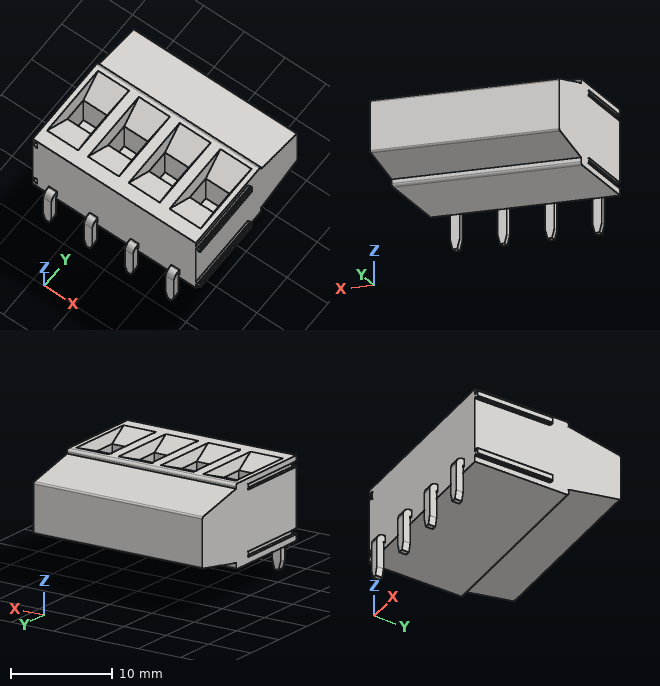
import cadquery as cq


POLE_COUNT = 4
PITCH = 5.0

WIDTH = POLE_COUNT * PITCH
DEPTH = 16.85
HEIGHT = 8.9
SHOULDER_Y = 10.85
NOSE_ROOT_TOP = 8.4
NOSE_ROOT_BOTTOM = 0.7
NOSE_TIP_TOP = 7.1
NOSE_TIP_BOTTOM = 1.75
SHOULDER_RADIUS = 0.3
NOSE_RADIUS = 0.2

MOUTH_WIDTH = 3.8
MOUTH_FRONT_Y = 1.6
MOUTH_BACK_Y = 10.05
SHAFT_WIDTH = 2.9
SHAFT_FRONT_Y = 4.35
SHAFT_BACK_Y = 7.0
FUNNEL_DEPTH = 1.1
POCKET_DEPTH = 5.0

RAIL_COUNT = 2
RAIL_LENGTH = 8.65
RAIL_DEPTH = 0.55
RAIL_NECK_DEPTH = 0.28
RAIL_TOP_DROP = 0.5
RAIL_SPACING = 7.0
RAIL_HEAD_HEIGHT = 0.8
RAIL_NECK_TOP = 0.15
RAIL_NECK_BOTTOM = 0.55
RAIL_FLARE_BOTTOM = 0.7
RAIL_FLARE_DEPTH = 0.13
RAIL_CHAMFER = 0.1
GROOVE_MOUTH_FLARE = 0.05
RAIL_HEAD_TOPS = [HEIGHT - RAIL_TOP_DROP - row * RAIL_SPACING for row in range(RAIL_COUNT)]

PIN_WIDTH = 1.0
PIN_THICKNESS = 0.8
PIN_REACH = 0.95
PIN_TOP_Z = 1.53
PIN_DROP = 3.5
PIN_BEND_RADIUS = 0.8
PIN_TIP_WIDTH = 0.5
PIN_TIP_LENGTH = 0.95
PIN_EMBED = 0.5


def pole_x(pole):
    return (pole + 0.5) * PITCH


def make_housing():
    outline = [
        (0, 0),
        (SHOULDER_Y, 0),
        (SHOULDER_Y, NOSE_ROOT_BOTTOM),
        (DEPTH, NOSE_TIP_BOTTOM),
        (DEPTH, NOSE_TIP_TOP),
        (SHOULDER_Y, NOSE_ROOT_TOP),
        (SHOULDER_Y, HEIGHT),
        (0, HEIGHT),
    ]
    block = cq.Workplane("YZ").polyline(outline).close().extrude(WIDTH)

    def edge_along_x(y, z):
        return cq.selectors.NearestToPointSelector((WIDTH / 2, y, z))

    for z in (0, HEIGHT):
        block = block.edges(edge_along_x(SHOULDER_Y, z)).fillet(SHOULDER_RADIUS)
    for z in (NOSE_TIP_BOTTOM, NOSE_TIP_TOP):
        block = block.edges(edge_along_x(DEPTH, z)).fillet(NOSE_RADIUS)
    return block


def make_pocket(pole):
    mouth_length = MOUTH_BACK_Y - MOUTH_FRONT_Y
    shaft_length = SHAFT_BACK_Y - SHAFT_FRONT_Y
    mouth_y = (MOUTH_BACK_Y + MOUTH_FRONT_Y) / 2
    shaft_y = (SHAFT_BACK_Y + SHAFT_FRONT_Y) / 2
    funnel = (
        cq.Workplane("XY", origin=(pole_x(pole), mouth_y, HEIGHT))
        .rect(MOUTH_WIDTH, mouth_length)
        .workplane(offset=-FUNNEL_DEPTH)
        .center(0, shaft_y - mouth_y)
        .rect(SHAFT_WIDTH, shaft_length)
        .loft(ruled=True)
    )
    shaft = (
        cq.Workplane("XY", origin=(pole_x(pole), shaft_y, HEIGHT - FUNNEL_DEPTH))
        .rect(SHAFT_WIDTH, shaft_length)
        .extrude(FUNNEL_DEPTH - POCKET_DEPTH)
    )
    return funnel.union(shaft)


def make_rail(wall_x, head_top):
    """Hooked rail profile projecting toward +X from wall_x, running back from the pin face."""
    neck_x = wall_x + RAIL_NECK_DEPTH
    outer_x = wall_x + RAIL_DEPTH
    head_bottom = head_top - RAIL_HEAD_HEIGHT
    profile = [
        (wall_x, head_top - RAIL_NECK_TOP),
        (neck_x, head_top - RAIL_NECK_TOP),
        (neck_x, head_top),
        (outer_x - RAIL_CHAMFER, head_top),
        (outer_x, head_top - RAIL_CHAMFER),
        (outer_x, head_bottom + RAIL_CHAMFER),
        (outer_x - RAIL_CHAMFER, head_bottom),
        (neck_x, head_bottom),
        (neck_x, head_top - RAIL_FLARE_BOTTOM),
        (wall_x + RAIL_FLARE_DEPTH, head_top - RAIL_NECK_BOTTOM),
        (wall_x, head_top - RAIL_FLARE_BOTTOM),
    ]
    return cq.Workplane("XZ").polyline(profile).close().extrude(-RAIL_LENGTH)


def make_groove(head_top):
    """Groove open at the -X wall, with a sloped lower flank in place of a hook."""
    head_bottom = head_top - RAIL_HEAD_HEIGHT
    profile = [
        (0, head_top - RAIL_NECK_TOP + GROOVE_MOUTH_FLARE),
        (RAIL_NECK_DEPTH, head_top - RAIL_NECK_TOP),
        (RAIL_NECK_DEPTH, head_top),
        (RAIL_DEPTH, head_top),
        (RAIL_DEPTH, head_bottom),
        (RAIL_FLARE_DEPTH + RAIL_NECK_DEPTH, head_bottom),
        (RAIL_FLARE_DEPTH, head_top - RAIL_NECK_BOTTOM),
        (0, head_top - RAIL_FLARE_BOTTOM),
    ]
    return cq.Workplane("XZ").polyline(profile).close().extrude(-RAIL_LENGTH)


def make_pin(pole):
    x = pole_x(pole)
    inner_y = PIN_THICKNESS - PIN_REACH
    side_outline = [
        (PIN_EMBED, PIN_TOP_Z),
        (-PIN_REACH, PIN_TOP_Z),
        (-PIN_REACH, -PIN_DROP),
        (inner_y, -PIN_DROP),
        (inner_y, PIN_TOP_Z - PIN_THICKNESS),
        (PIN_EMBED, PIN_TOP_Z - PIN_THICKNESS),
    ]
    bent_strip = (
        cq.Workplane("YZ", origin=(x, 0, 0))
        .polyline(side_outline)
        .close()
        .extrude(PIN_WIDTH / 2, both=True)
        .edges(cq.selectors.NearestToPointSelector((x, -PIN_REACH, PIN_TOP_Z)))
        .fillet(PIN_BEND_RADIUS)
    )
    front_outline = [
        (x - PIN_WIDTH / 2, PIN_TOP_Z),
        (x - PIN_WIDTH / 2, PIN_TIP_LENGTH - PIN_DROP),
        (x - PIN_TIP_WIDTH / 2, -PIN_DROP),
        (x + PIN_TIP_WIDTH / 2, -PIN_DROP),
        (x + PIN_WIDTH / 2, PIN_TIP_LENGTH - PIN_DROP),
        (x + PIN_WIDTH / 2, PIN_TOP_Z),
    ]
    tapered_envelope = (
        cq.Workplane("XZ", origin=(0, PIN_EMBED, 0))
        .polyline(front_outline)
        .close()
        .extrude(PIN_EMBED + PIN_REACH)
    )
    return bent_strip.intersect(tapered_envelope)


result = make_housing()
for pole_index in range(POLE_COUNT):
    result = result.cut(make_pocket(pole_index))
    result = result.union(make_pin(pole_index))
for rail_top in RAIL_HEAD_TOPS:
    result = result.cut(make_groove(rail_top))
    result = result.union(make_rail(WIDTH, rail_top))